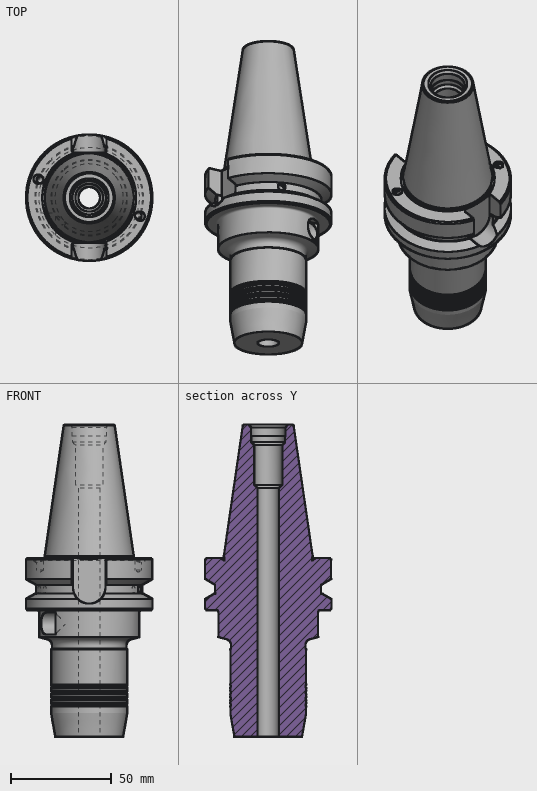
import cadquery as cq
import math

taper_length = 65.4
nose_z = -90.0
flange_top_z = -1.0
flange_bottom_z = -27.0

gauge_radius = 44.45 / 2
taper_slope = 7 / 24 / 2
small_end_radius = gauge_radius - taper_slope * taper_length
small_end_chamfer = 0.6

relief_radius = 21.9
relief_mouth_radius = 23.4
relief_bottom_z = -2.2

flange_radius = 63.0 / 2
flange_edge_chamfer = 0.8
groove_floor_radius = 26.5
groove_shoulder_radius = 27.0
groove_flank_slope = math.tan(math.radians(30.0))
groove_rim_top_z = -11.5
groove_rim_bottom_z = -21.3
groove_floor_top_z = groove_rim_top_z - (flange_radius - groove_floor_radius) * groove_flank_slope
groove_shoulder_z = groove_rim_bottom_z + (flange_radius - groove_shoulder_radius) * groove_flank_slope

slot_width = 16.1
slot_floor_y = 22.5
slot_bottom_z = -23.7
slot_corner_fillet = 1.1
slot_mouth_width = 17.4
slot_mouth_bottom_z = groove_floor_top_z

collar_radius = 25.0
collar_root_fillet = 0.9
collar_edge_z = -40.4
blend_radius = 3.0
blend_face_angle = math.radians(15.0)
neck_radius = 18.6
neck_bottom_z = -46.0

body_radius = 19.0
nose_taper_z = -78.2
nose_taper_angle = math.radians(10.0)
nose_radius = body_radius - (nose_taper_z - nose_z) * math.tan(nose_taper_angle)

ring_count = 4
ring_pitch = 3.08
ring_width = 1.8
ring_depth = 0.35
first_ring_z = -64.8

through_radius = 5.3
thread_radius = 6.9
pilot_radius = 8.5
mouth_radius = 9.65
mouth_depth = 1.5
pilot_depth = 5.75
recess_radius = 8.35
recess_depth = 8.8
thread_start_depth = 10.2
thread_end_depth = 30.0
thread_end_cone_length = 1.6

pocket_y = -12.9
pocket_z = -33.6
pocket_radius = 5.4
pocket_floor_x = -16.7
pocket_cone_radius = 5.1
pocket_cone_depth = 5.1

coolant_angles = (160.0, -20.0)
drill_point_angle = math.radians(118.0)
face_hole_radius = 2.3
face_hole_depth = 1.5
face_hole_center_radius = 27.0
feed_hole_radius = 1.7
feed_hole_depth = 6.0
feed_hole_center_radius = 26.0
groove_hole_radius = 1.9
groove_hole_depth = 3.0
groove_hole_z = -16.6


def make_body():
    """Revolved outside shape: taper, flange, collar, neck and nose."""
    blend_center_r = neck_radius + blend_radius
    blend_start_r = blend_center_r - blend_radius * math.sin(blend_face_angle)
    blend_start_z = collar_edge_z - (collar_radius - blend_start_r) * math.tan(blend_face_angle)
    blend_end_z = blend_start_z - blend_radius * math.cos(blend_face_angle)
    blend_mid_angle = (math.pi / 2 + blend_face_angle + math.pi) / 2
    blend_mid = (
        blend_center_r + blend_radius * math.cos(blend_mid_angle),
        blend_end_z + blend_radius * math.sin(blend_mid_angle),
    )
    chamfer_start_r = small_end_radius + taper_slope * small_end_chamfer
    profile = (
        cq.Workplane("XZ")
        .moveTo(0, taper_length)
        .lineTo(small_end_radius - small_end_chamfer, taper_length)
        .lineTo(chamfer_start_r, taper_length - small_end_chamfer)
        .lineTo(gauge_radius, 0)
        .lineTo(relief_radius, flange_top_z)
        .lineTo(relief_radius, relief_bottom_z)
        .lineTo(relief_mouth_radius, flange_top_z)
        .lineTo(flange_radius - flange_edge_chamfer, flange_top_z)
        .lineTo(flange_radius, flange_top_z - flange_edge_chamfer)
        .lineTo(flange_radius, groove_rim_top_z)
        .lineTo(groove_floor_radius, groove_floor_top_z)
        .lineTo(groove_floor_radius, groove_shoulder_z)
        .lineTo(groove_shoulder_radius, groove_shoulder_z)
        .lineTo(flange_radius, groove_rim_bottom_z)
        .lineTo(flange_radius, flange_bottom_z + flange_edge_chamfer)
        .lineTo(flange_radius - flange_edge_chamfer, flange_bottom_z)
        .lineTo(collar_radius + collar_root_fillet, flange_bottom_z)
        .radiusArc((collar_radius, flange_bottom_z - collar_root_fillet), -collar_root_fillet)
        .lineTo(collar_radius, collar_edge_z)
        .lineTo(blend_start_r, blend_start_z)
        .threePointArc(blend_mid, (neck_radius, blend_end_z))
        .lineTo(neck_radius, neck_bottom_z)
        .lineTo(body_radius, neck_bottom_z - (body_radius - neck_radius))
        .lineTo(body_radius, nose_taper_z)
        .lineTo(nose_radius, nose_z)
        .lineTo(0, nose_z)
        .close()
    )
    return profile.revolve(360, (0, 0, 0), (0, 1, 0))


def ring_groove(center_z):
    """V-section ring cut around the chuck body."""
    section = cq.Workplane("XZ").polyline([
        (body_radius, center_z + ring_width / 2),
        (body_radius - ring_depth, center_z),
        (body_radius, center_z - ring_width / 2),
    ]).close()
    return section.revolve(360, (0, 0, 0), (0, 1, 0))


def make_bore():
    """Stepped bore, open at both ends."""
    section = cq.Workplane("XZ").polyline([
        (0, taper_length),
        (mouth_radius, taper_length),
        (pilot_radius, taper_length - mouth_depth),
        (pilot_radius, taper_length - pilot_depth),
        (recess_radius, taper_length - pilot_depth),
        (recess_radius, taper_length - recess_depth),
        (thread_radius, taper_length - thread_start_depth),
        (thread_radius, taper_length - thread_end_depth),
        (through_radius, taper_length - thread_end_depth - thread_end_cone_length),
        (through_radius, nose_z),
        (0, nose_z),
    ]).close()
    return section.revolve(360, (0, 0, 0), (0, 1, 0))


def make_drive_slot():
    """Round-ended slot on the -Y side, wider where it crosses the upper flange."""
    depth = flange_radius - slot_floor_y
    end_center_z = slot_bottom_z + slot_width / 2
    base = cq.Workplane("XZ", origin=(0, -slot_floor_y, 0))
    height = flange_top_z - end_center_z
    straight = base.center(0, end_center_z + height / 2).rect(slot_width, height).extrude(depth)
    round_end = base.center(0, end_center_z).circle(slot_width / 2).extrude(depth)
    mouth_height = flange_top_z - slot_mouth_bottom_z
    mouth = base.center(0, slot_mouth_bottom_z + mouth_height / 2)
    mouth = mouth.rect(slot_mouth_width, mouth_height).extrude(depth)
    mouth = mouth.edges(">Y and |Z").fillet(slot_corner_fillet)
    return straight.union(round_end).union(mouth)


def make_screw_pocket():
    """Flat-ended round pocket along X, open towards -Y, with a drill point at its end."""
    depth = flange_radius + pocket_floor_x
    start = cq.Workplane("YZ", origin=(pocket_floor_x, pocket_y, pocket_z))
    bore = start.circle(pocket_radius).extrude(-depth)
    side = start.center(-flange_radius / 2, 0).rect(flange_radius, 2 * pocket_radius).extrude(-depth)
    point = cq.Solid.makeCone(
        pocket_cone_radius, 0, pocket_cone_depth,
        cq.Vector(pocket_floor_x, pocket_y, pocket_z), cq.Vector(1, 0, 0),
    )
    return bore.union(side).union(cq.Workplane(point))


def drilled_hole(radius, depth, mouth, direction):
    """Blind hole with a conical drill point beyond its full-diameter depth."""
    axis = cq.Vector(*direction)
    start = cq.Vector(*mouth)
    shank = cq.Solid.makeCylinder(radius, depth, start, axis)
    point_length = radius / math.tan(drill_point_angle / 2)
    point = cq.Solid.makeCone(radius, 0, point_length, start + axis * depth, axis)
    return cq.Workplane(shank).union(cq.Workplane(point))


def make_coolant_holes(angle):
    """Pair of overlapping holes in the flange face and a radial hole in the groove floor."""
    down = (0, 0, -1)
    seat = drilled_hole(face_hole_radius, face_hole_depth, (face_hole_center_radius, 0, flange_top_z), down)
    feed = drilled_hole(feed_hole_radius, feed_hole_depth, (feed_hole_center_radius, 0, flange_top_z), down)
    radial = drilled_hole(
        groove_hole_radius, groove_hole_depth, (groove_floor_radius, 0, groove_hole_z), (-1, 0, 0)
    )
    return seat.union(feed).union(radial).rotate((0, 0, 0), (0, 0, 1), angle)


result = make_body().cut(make_bore())
for index in range(ring_count):
    result = result.cut(ring_groove(first_ring_z - index * ring_pitch))
for slot_angle in (0, 180):
    result = result.cut(make_drive_slot().rotate((0, 0, 0), (0, 0, 1), slot_angle))
result = result.cut(make_screw_pocket())
for coolant_angle in coolant_angles:
    result = result.cut(make_coolant_holes(coolant_angle))